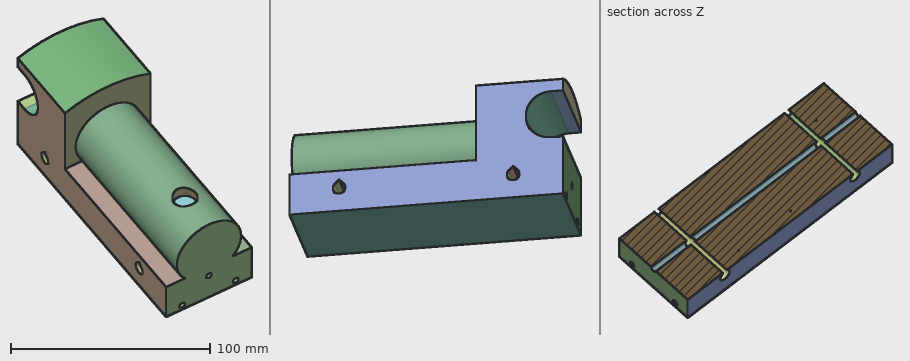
import cadquery as cq
import math

length = 139.7
width = 50.9
base_height = 22.2

head_length = 44.4
head_height = 68.6
shoulder_height = 63.5

barrel_diameter = 38.1
barrel_axis_z = 34.8

notch_radius = 12.7
notch_center_x = 6.3
notch_center_z = 44.4

socket_diameter = 12.7
socket_x = 117.2
socket_depth = 6.3

teardrop_radius = 3.2
teardrop_z = 12.7
teardrop_end_distance = 25.4

pin_diameter = 3.2
lower_pin_z = 3.2
lower_pin_y = 15.9
upper_pin_z = 15.9


def make_base():
    return cq.Workplane("XY").box(length, width, base_height, centered=(False, True, False))


def make_head():
    half_width = width / 2
    return (
        cq.Workplane("YZ")
        .moveTo(-half_width, 0)
        .lineTo(half_width, 0)
        .lineTo(half_width, shoulder_height)
        .threePointArc((0, head_height), (-half_width, shoulder_height))
        .close()
        .extrude(head_length)
    )


def make_barrel():
    """Barrel from inside the head to the +X end."""
    start_x = head_length / 2
    return (
        cq.Workplane("YZ", origin=(start_x, 0, barrel_axis_z))
        .circle(barrel_diameter / 2)
        .extrude(length - start_x)
    )


def make_notch():
    """U-shaped cutter, open towards -X."""
    top_z = notch_center_z + notch_radius
    bottom_z = notch_center_z - notch_radius
    return (
        cq.Workplane("XZ")
        .moveTo(0, bottom_z)
        .lineTo(notch_center_x, bottom_z)
        .threePointArc((notch_center_x + notch_radius, notch_center_z), (notch_center_x, top_z))
        .lineTo(0, top_z)
        .close()
        .extrude(width / 2, both=True)
    )


def make_teardrop(x):
    """Cross-hole cutter with a 45-degree peaked roof."""
    tangent_offset = teardrop_radius * math.sqrt(0.5)
    tangent_z = teardrop_z + tangent_offset
    peak_z = teardrop_z + teardrop_radius * math.sqrt(2)
    return (
        cq.Workplane("XZ")
        .moveTo(x, peak_z)
        .lineTo(x - tangent_offset, tangent_z)
        .threePointArc((x, teardrop_z - teardrop_radius), (x + tangent_offset, tangent_z))
        .close()
        .extrude(width / 2, both=True)
    )


def make_pin_holes():
    positions = [(-lower_pin_y, lower_pin_z), (lower_pin_y, lower_pin_z), (0, upper_pin_z)]
    return cq.Workplane("YZ").pushPoints(positions).circle(pin_diameter / 2).extrude(length)


def make_socket():
    barrel_top_z = barrel_axis_z + barrel_diameter / 2
    return (
        cq.Workplane("XY", origin=(socket_x, 0, barrel_top_z))
        .circle(socket_diameter / 2)
        .extrude(-socket_depth)
    )


result = make_base().union(make_head()).union(make_barrel())
result = result.cut(make_notch()).cut(make_pin_holes()).cut(make_socket())
for teardrop_x in (teardrop_end_distance, length - teardrop_end_distance):
    result = result.cut(make_teardrop(teardrop_x))